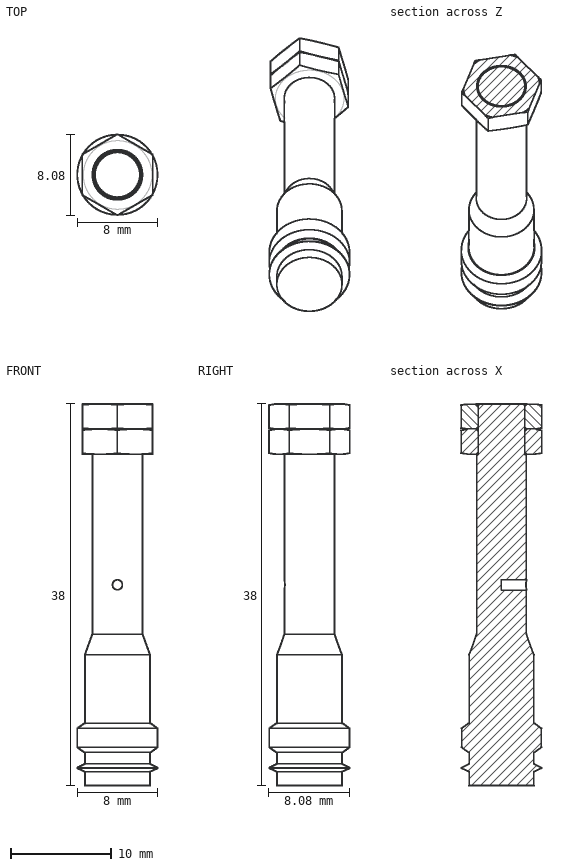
import cadquery as cq
import math

TOTAL_HEIGHT = 38.0
STEM_RADIUS = 5.0 / 2
BODY_RADIUS = 6.5 / 2
COLLAR_RADIUS = 8.0 / 2
COLLAR_STEP = 0.08
COLLAR_END_RADIUS = BODY_RADIUS + COLLAR_STEP

LIP_BOTTOM = 1.35
LIP_EDGE = 1.7
LIP_THICKNESS = 0.08
LIP_TOP = 2.15
COLLAR_BOTTOM = 3.3
COLLAR_TOP = 6.2
COLLAR_BEVEL = 0.5
CONE_BOTTOM = 13.05
CONE_TOP = 15.1

SPIGOT_RADIUS = 4.7 / 2
TIP_RADIUS = 4.45 / 2
TIP_BEVEL = SPIGOT_RADIUS - TIP_RADIUS

CROSS_HOLE_DIAMETER = 1.0
CROSS_HOLE_HEIGHT = 20.0
CROSS_HOLE_DEPTH = STEM_RADIUS

NUT_COUNT = 2
NUT_HEIGHT = 2.5
NUT_ACROSS_FLATS = 7.0
NUT_FACE_RADIUS = 6.85 / 2
NUT_BEVEL_ANGLE = 10.0
COUNTERSINK_RADIUS = STEM_RADIUS
SPIGOT_BOTTOM = TOTAL_HEIGHT - NUT_COUNT * NUT_HEIGHT


def make_stem():
    """Turned stem with a conical shoulder, a collar, a thin lip and a cross hole."""
    profile = [
        (0, 0),
        (BODY_RADIUS, 0),
        (BODY_RADIUS, LIP_BOTTOM),
        (COLLAR_RADIUS, LIP_EDGE),
        (COLLAR_RADIUS, LIP_EDGE + LIP_THICKNESS),
        (BODY_RADIUS, LIP_TOP),
        (BODY_RADIUS, COLLAR_BOTTOM),
        (COLLAR_END_RADIUS, COLLAR_BOTTOM),
        (COLLAR_RADIUS, COLLAR_BOTTOM + COLLAR_BEVEL),
        (COLLAR_RADIUS, COLLAR_TOP - COLLAR_BEVEL),
        (COLLAR_END_RADIUS, COLLAR_TOP),
        (BODY_RADIUS, COLLAR_TOP),
        (BODY_RADIUS, CONE_BOTTOM),
        (STEM_RADIUS, CONE_TOP),
        (STEM_RADIUS, SPIGOT_BOTTOM),
        (SPIGOT_RADIUS, SPIGOT_BOTTOM),
        (SPIGOT_RADIUS, TOTAL_HEIGHT - TIP_BEVEL),
        (TIP_RADIUS, TOTAL_HEIGHT),
        (0, TOTAL_HEIGHT),
    ]
    turned = cq.Workplane("XZ").polyline(profile).close().revolve(360, (0, 0), (0, 1))
    cross_hole = (
        cq.Workplane("XZ", origin=(0, -STEM_RADIUS, CROSS_HOLE_HEIGHT))
        .circle(CROSS_HOLE_DIAMETER / 2)
        .extrude(-CROSS_HOLE_DEPTH)
    )
    return turned.cut(cross_hole)


def make_nut(bottom):
    """Hexagon nut with corners on the Y axis and both ends bevelled and countersunk."""
    corner_radius = NUT_ACROSS_FLATS / 2 / math.cos(math.radians(30))
    bevel_height = (corner_radius - NUT_FACE_RADIUS) * math.tan(math.radians(NUT_BEVEL_ANGLE))
    hexagon = (
        cq.Workplane("XY")
        .polygon(6, 2 * corner_radius)
        .extrude(NUT_HEIGHT)
        .rotate((0, 0, 0), (0, 0, 1), 90)
    )
    bevel_profile = [
        (0, 0),
        (NUT_FACE_RADIUS, 0),
        (corner_radius, bevel_height),
        (corner_radius, NUT_HEIGHT - bevel_height),
        (NUT_FACE_RADIUS, NUT_HEIGHT),
        (0, NUT_HEIGHT),
    ]
    bevelled = cq.Workplane("XZ").polyline(bevel_profile).close().revolve(360, (0, 0), (0, 1))
    countersink_depth = COUNTERSINK_RADIUS - SPIGOT_RADIUS
    bore_profile = [
        (0, 0),
        (COUNTERSINK_RADIUS, 0),
        (SPIGOT_RADIUS, countersink_depth),
        (SPIGOT_RADIUS, NUT_HEIGHT - countersink_depth),
        (COUNTERSINK_RADIUS, NUT_HEIGHT),
        (0, NUT_HEIGHT),
    ]
    bore = cq.Workplane("XZ").polyline(bore_profile).close().revolve(360, (0, 0), (0, 1))
    return hexagon.intersect(bevelled).cut(bore).translate((0, 0, bottom))


stem = make_stem()
nuts = [make_nut(TOTAL_HEIGHT - (index + 1) * NUT_HEIGHT) for index in range(NUT_COUNT)]

result = cq.Compound.makeCompound([stem.val(), *[nut.val() for nut in nuts]])